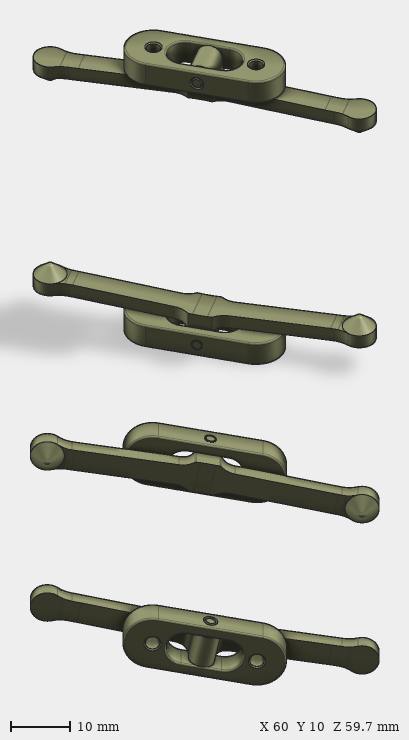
import cadquery as cq
import math

overall_length = 60.0
overall_height = 59.7

housing_length = 28.0
housing_width = 10.0
housing_height = 4.5
edge_radius = 0.3
slot_length = 13.15
slot_width = 6.1
screw_hole_diameter = 2.45
rim_chamfer = 0.25
countersink_angle = 90.0

arm_width = 4.0
arm_thickness = 2.5
bend_angle = 3.0
bend_x = 23.2
inner_bend_radius = 25.0
outer_bend_radius = 60.0
head_radius = 2.9
neck_radius = 6.0
point_height = 2.5
hub_width = 6.0
hub_flat = 4.3
hub_corner_radius = 0.3
hub_blend_radius = 4.0
boss_radius = housing_height / 2
boss_fillet = 1.45
pin_diameter = 2.0
pin_chamfer = 0.2

housing_top = overall_height / 2
housing_bottom = housing_top - housing_height
pivot_z = housing_top - housing_height / 2
screw_x = (housing_length - housing_width) / 2
head_x = overall_length / 2 - head_radius
bend_sin = math.sin(math.radians(bend_angle))
bend_cos = math.cos(math.radians(bend_angle))
arm_slope = math.tan(math.radians(bend_angle))
half_bend = math.tan(math.radians(bend_angle / 2))
head_top = housing_bottom - bend_x * arm_slope
head_bottom = head_top - arm_thickness
arm_half = arm_width / 2
hub_half = hub_width / 2


def make_housing():
    """Stadium block with a rounded-rim slot, two screw holes and a cross bore for the pivot pin."""
    block = (
        cq.Workplane("XY", origin=(0, 0, housing_bottom))
        .slot2D(housing_length, housing_width)
        .slot2D(slot_length, slot_width)
        .extrude(housing_height)
        .faces("<Z or >Z")
        .edges()
        .fillet(edge_radius)
    )
    screw_rim_diameter = screw_hole_diameter + 2 * rim_chamfer
    block = (
        block.faces(">Z")
        .workplane(origin=(0, 0, housing_top))
        .pushPoints([(-screw_x, 0), (screw_x, 0)])
        .cskHole(screw_hole_diameter, screw_rim_diameter, countersink_angle)
    )

    pin_rim_diameter = pin_diameter + 2 * rim_chamfer
    return (
        block.faces("<Y")
        .workplane(origin=(0, -housing_width / 2, pivot_z))
        .cskHole(pin_diameter, pin_rim_diameter, countersink_angle)
    )


def rocker_plan():
    """Upright prism: round heads, arms and a wider hub, joined by concave blends in plan."""
    radius_sum = head_radius + neck_radius
    neck_run = math.sqrt(radius_sum**2 - (arm_half + neck_radius) ** 2)
    neck_x = head_x - neck_run
    tangent_x = head_x - neck_run * head_radius / radius_sum
    tangent_y = (arm_half + neck_radius) * head_radius / radius_sum

    hub_step = hub_half - arm_half
    blend_run = math.sqrt(2 * hub_blend_radius * hub_step - hub_step**2)
    hub_edge = hub_flat / 2
    blend_x = hub_edge + blend_run

    head_tip = overall_length / 2
    outline = (
        cq.Workplane("XY", origin=(0, 0, head_bottom))
        .moveTo(-hub_edge, hub_half)
        .lineTo(hub_edge, hub_half)
        .radiusArc((blend_x, arm_half), -hub_blend_radius)
        .lineTo(neck_x, arm_half)
        .radiusArc((tangent_x, tangent_y), -neck_radius)
        .threePointArc((head_tip, 0), (tangent_x, -tangent_y))
        .radiusArc((neck_x, -arm_half), -neck_radius)
        .lineTo(blend_x, -arm_half)
        .radiusArc((hub_edge, -hub_half), -hub_blend_radius)
        .lineTo(-hub_edge, -hub_half)
        .radiusArc((-blend_x, -arm_half), -hub_blend_radius)
        .lineTo(-neck_x, -arm_half)
        .radiusArc((-tangent_x, -tangent_y), -neck_radius)
        .threePointArc((-head_tip, 0), (-tangent_x, tangent_y))
        .radiusArc((-neck_x, arm_half), -neck_radius)
        .lineTo(-blend_x, arm_half)
        .radiusArc((-hub_edge, hub_half), -hub_blend_radius)
        .close()
        .extrude(housing_top - head_bottom)
    )
    hub_corners = cq.selectors.BoxSelector((-hub_flat, -hub_width, 0), (hub_flat, hub_width, housing_top))
    return outline.edges("|Z").edges(hub_corners).fillet(hub_corner_radius)


def arm_profile():
    """Side profile of the bent arm, as wide as the hub."""
    lower_bend_x = bend_x + arm_thickness * half_bend
    outer_run = outer_bend_radius * half_bend
    inner_run = inner_bend_radius * half_bend

    outer_arc_x = bend_x - outer_run * bend_cos
    outer_arc_z = head_top + outer_run * bend_sin
    inner_arc_x = lower_bend_x - inner_run * bend_cos
    inner_arc_z = head_bottom + inner_run * bend_sin

    centre_run = inner_bend_radius * bend_sin
    centre_sag = inner_bend_radius * (1 - bend_cos)
    centre_z = head_bottom + (lower_bend_x - centre_run) * arm_slope
    half_length = overall_length / 2

    return (
        cq.Workplane("XZ", origin=(0, hub_half, 0))
        .moveTo(0, housing_bottom)
        .lineTo(outer_arc_x, outer_arc_z)
        .radiusArc((bend_x + outer_run, head_top), -outer_bend_radius)
        .lineTo(half_length, head_top)
        .lineTo(half_length, head_bottom)
        .lineTo(lower_bend_x + inner_run, head_bottom)
        .radiusArc((inner_arc_x, inner_arc_z), inner_bend_radius)
        .lineTo(centre_run, centre_z)
        .threePointArc((0, centre_z + centre_sag), (-centre_run, centre_z))
        .lineTo(-inner_arc_x, inner_arc_z)
        .radiusArc((-lower_bend_x - inner_run, head_bottom), inner_bend_radius)
        .lineTo(-half_length, head_bottom)
        .lineTo(-half_length, head_top)
        .lineTo(-bend_x - outer_run, head_top)
        .radiusArc((-outer_arc_x, outer_arc_z), -outer_bend_radius)
        .close()
        .extrude(hub_width)
    )


def boss_profile():
    """Round-topped pivot boss that flares out onto the arm, as wide as the hub."""
    foot_x = boss_radius + boss_fillet
    foot_z = housing_bottom - foot_x * arm_slope
    return (
        cq.Workplane("XZ", origin=(0, hub_half, 0))
        .moveTo(-foot_x, foot_z)
        .lineTo(foot_x, foot_z)
        .radiusArc((boss_radius, foot_z + boss_fillet), boss_fillet)
        .lineTo(boss_radius, pivot_z)
        .threePointArc((0, pivot_z + boss_radius), (-boss_radius, pivot_z))
        .lineTo(-boss_radius, foot_z + boss_fillet)
        .radiusArc((-foot_x, foot_z), boss_fillet)
        .close()
        .extrude(hub_width)
    )


def make_rocker():
    """Bent arm with a pivot boss, a cross pin and a cone under each head."""
    rocker = arm_profile().union(boss_profile()).intersect(rocker_plan())
    pin = (
        cq.Workplane("XZ", origin=(0, housing_width / 2, pivot_z))
        .circle(pin_diameter / 2)
        .extrude(housing_width)
        .faces("<Y or >Y")
        .chamfer(pin_chamfer)
    )
    rocker = rocker.union(pin)
    for side in (-1, 1):
        base_centre = cq.Vector(side * head_x, 0, head_bottom)
        point = cq.Solid.makeCone(head_radius, 0, point_height, base_centre, cq.Vector(0, 0, -1))
        rocker = rocker.union(cq.Workplane(point))
    return rocker


upper_bodies = [make_housing().solids().val(), make_rocker().solids().val()]
lower_bodies = [body.rotate((0, 0, 0), (1, 0, 0), 180) for body in upper_bodies]

result = cq.Compound.makeCompound([*upper_bodies, *lower_bodies])